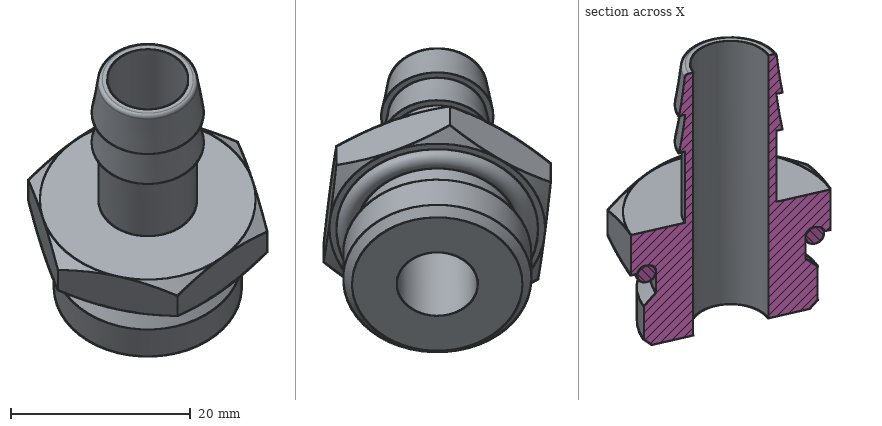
import cadquery as cq
import math

THREAD_CHAMFER = 1.0
THREAD_TOP_Z = 5.5
HEX_BOTTOM_Z = 10.0
HEX_TOP_Z = 15.5
LOWER_BARB_Z = 25.03
TOTAL_HEIGHT = 35.5
BARB_PITCH = 4.97
UPPER_BARB_Z = LOWER_BARB_Z + BARB_PITCH

BORE_RADIUS = 9.0 / 2
TUBE_RADIUS = 11.0 / 2
BARB_RADIUS = 12.5 / 2
NECK_RADIUS = 18.0 / 2
THREAD_RADIUS = 20.95 / 2
TIP_FILLET = 0.5

HEX_ACROSS_FLATS = 24.0
HEX_CHAMFER_ANGLE = math.radians(30)

RING_SECTION_RADIUS = 1.12
RING_BOTTOM_Z = 8.63
RING_CENTRE_RADIUS = NECK_RADIUS + RING_SECTION_RADIUS
RING_CENTRE_Z = RING_BOTTOM_Z + RING_SECTION_RADIUS


def revolve_profile(profile):
    """Revolve a closed radius-height profile around Z."""
    return profile.close().revolve(360, (0, 0, 0), (0, 1, 0))


def make_threaded_end():
    """Plain thread envelope with a lead chamfer and a 45 degree run-out to the neck."""
    neck_bottom_z = THREAD_TOP_Z + THREAD_RADIUS - NECK_RADIUS
    return revolve_profile(
        cq.Workplane("XZ")
        .moveTo(0, 0)
        .lineTo(THREAD_RADIUS - THREAD_CHAMFER, 0)
        .lineTo(THREAD_RADIUS, THREAD_CHAMFER)
        .lineTo(THREAD_RADIUS, THREAD_TOP_Z)
        .lineTo(NECK_RADIUS, neck_bottom_z)
        .lineTo(NECK_RADIUS, HEX_BOTTOM_Z)
        .lineTo(0, HEX_BOTTOM_Z)
    )


def make_hexagon():
    """Hexagon whose corners are cut back by a cone above and below."""
    flat_radius = HEX_ACROSS_FLATS / 2
    corner_radius = flat_radius / math.cos(math.pi / 6)
    corner_drop = (corner_radius - flat_radius) * math.tan(HEX_CHAMFER_ANGLE)
    prism = (
        cq.Workplane("XY", origin=(0, 0, HEX_BOTTOM_Z))
        .polygon(6, 2 * corner_radius)
        .extrude(HEX_TOP_Z - HEX_BOTTOM_Z)
    )
    chamfer_envelope = revolve_profile(
        cq.Workplane("XZ")
        .moveTo(0, HEX_BOTTOM_Z)
        .lineTo(flat_radius, HEX_BOTTOM_Z)
        .lineTo(corner_radius, HEX_BOTTOM_Z + corner_drop)
        .lineTo(corner_radius, HEX_TOP_Z - corner_drop)
        .lineTo(flat_radius, HEX_TOP_Z)
        .lineTo(0, HEX_TOP_Z)
    )
    return prism.intersect(chamfer_envelope)


def make_hose_tail():
    """Tube with two tapered barbs and a rounded tip."""
    tail = revolve_profile(
        cq.Workplane("XZ")
        .moveTo(0, HEX_TOP_Z)
        .lineTo(TUBE_RADIUS, HEX_TOP_Z)
        .lineTo(TUBE_RADIUS, LOWER_BARB_Z)
        .lineTo(BARB_RADIUS, LOWER_BARB_Z)
        .lineTo(TUBE_RADIUS, UPPER_BARB_Z)
        .lineTo(BARB_RADIUS, UPPER_BARB_Z)
        .lineTo(TUBE_RADIUS, TOTAL_HEIGHT)
        .lineTo(0, TOTAL_HEIGHT)
    )
    return tail.faces(">Z").edges().fillet(TIP_FILLET)


def make_o_ring():
    """Round-section sealing ring."""
    return (
        cq.Workplane("XZ")
        .center(RING_CENTRE_RADIUS, RING_CENTRE_Z)
        .circle(RING_SECTION_RADIUS)
        .revolve(360, (-RING_CENTRE_RADIUS, 0, 0), (-RING_CENTRE_RADIUS, 1, 0))
    )


def make_fitting(seal):
    """Hose fitting with a through bore and a groove that matches the seal."""
    outside = make_threaded_end().union(make_hexagon()).union(make_hose_tail())
    bore = cq.Workplane("XY").circle(BORE_RADIUS).extrude(TOTAL_HEIGHT)
    return outside.cut(bore).cut(seal)


o_ring = make_o_ring()
fitting = make_fitting(o_ring)

result = cq.Compound.makeCompound([fitting.val(), o_ring.val()])